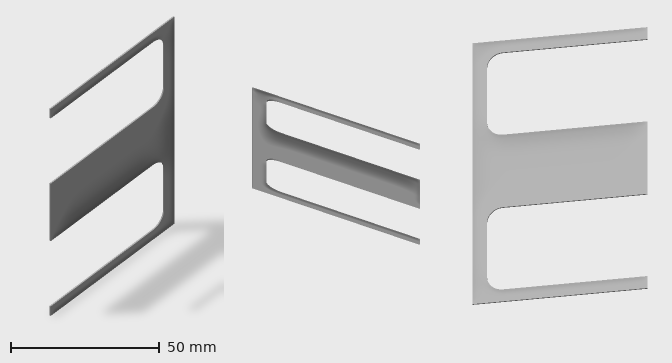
import cadquery as cq

thickness = 0.5
width = 60.0
height = 100.0

spine_width = 5.0
arm_height = 4.6
tongue_height = 27.8
corner_radius = 5.5

window_depth = width - spine_width
window_height = (height - tongue_height) / 2 - arm_height
window_center_z = (tongue_height + window_height) / 2


def window_cutter(center_z):
    """Open-ended window, rounded only at its two corners beside the spine."""
    return (
        cq.Workplane("XY")
        .box(thickness, window_depth, window_height)
        .edges("|X and >Y")
        .fillet(corner_radius)
        .translate((0, -spine_width / 2, center_z))
    )


result = cq.Workplane("XY").box(thickness, width, height)
for side in (-1, 1):
    result = result.cut(window_cutter(side * window_center_z))